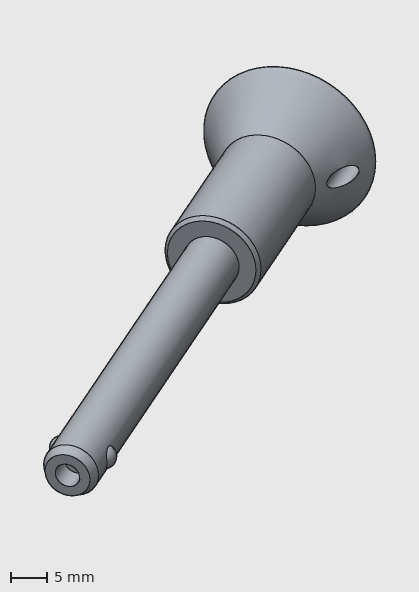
import cadquery as cq
import math

total_length = 90.8
tip_y = -total_length / 2
button_y = total_length / 2

button_diameter = 7.0
button_height = 0.45

head_diameter = 25.0
rim_radius = 1.1
flare_length = 10.4
handle_diameter = 14.0
handle_chamfer = 0.5
handle_end = 32.9

shank_diameter = 8.0
tip_diameter = 6.5
tip_length = 1.45
bore_diameter = 3.5
bore_depth = 3.6

ball_diameter = 3.45
ball_reach = 4.8
ball_from_tip = 6.3

lanyard_hole_diameter = 3.0
lanyard_hole_x = 9.5


def revolved_body():
    """Button, head, handle and shank turned about the Y axis."""
    button_radius = button_diameter / 2
    handle_radius = handle_diameter / 2
    shank_radius = shank_diameter / 2
    face_y = button_y - button_height
    flare_end_y = button_y - flare_length
    handle_end_y = button_y - handle_end

    center_x = head_diameter / 2 - rim_radius
    center_y = face_y - rim_radius
    run_x = center_x - handle_radius
    run_y = center_y - flare_end_y
    toward_flare_end = math.atan2(-run_y, -run_x)
    tangent_angle = toward_flare_end + math.acos(rim_radius / math.hypot(run_x, run_y))
    tangent_point = (
        center_x + rim_radius * math.cos(tangent_angle),
        center_y + rim_radius * math.sin(tangent_angle),
    )

    profile = (
        cq.Workplane("XY")
        .moveTo(0, button_y)
        .lineTo(button_radius, button_y)
        .lineTo(button_radius, face_y)
        .lineTo(center_x, face_y)
        .threePointArc((head_diameter / 2, center_y), tangent_point)
        .lineTo(handle_radius, flare_end_y)
        .lineTo(handle_radius, handle_end_y + handle_chamfer)
        .lineTo(handle_radius - handle_chamfer, handle_end_y)
        .lineTo(shank_radius, handle_end_y)
        .lineTo(shank_radius, tip_y + tip_length)
        .lineTo(tip_diameter / 2, tip_y)
        .lineTo(0, tip_y)
        .close()
    )
    return profile.revolve(360, (0, 0, 0), (0, 1, 0))


def locking_ball(side):
    """Ball partly sunk in the shank; side is -1 or +1 along X."""
    center_x = side * (ball_reach - ball_diameter / 2)
    return cq.Workplane("XY").sphere(ball_diameter / 2).translate((center_x, tip_y + ball_from_tip, 0))


def hole_along_y(diameter, x, start_y, depth):
    """Cutter that runs toward +Y from start_y."""
    cutter = cq.Workplane("XZ", origin=(x, start_y, 0)).circle(diameter / 2)
    return cutter.extrude(-depth)


result = revolved_body()
for side in (-1, 1):
    result = result.union(locking_ball(side))
result = result.cut(hole_along_y(bore_diameter, 0, tip_y, bore_depth))
result = result.cut(hole_along_y(lanyard_hole_diameter, lanyard_hole_x, tip_y, total_length))